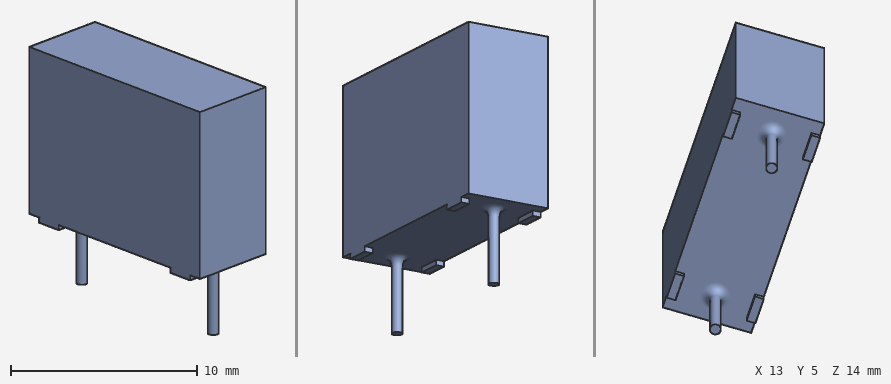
import cadquery as cq

body_length = 13.0
body_width = 5.0
total_height = 14.0
lead_length = 4.0

foot_height = 0.3
foot_length = 1.5
foot_width = 0.5
foot_end_gap = 0.75

lead_pitch = 10.0
lead_diameter = 0.6
flare_radius = 0.5

top_z = total_height - lead_length
body_height = top_z - foot_height
lead_radius = lead_diameter / 2


def make_body():
    """Plain rectangular case standing on its feet."""
    return (
        cq.Workplane("XY", origin=(0, 0, foot_height))
        .box(body_length, body_width, body_height, centered=(True, True, False))
    )


def make_feet():
    """Four small stand-off feet, flush with the long sides of the case."""
    foot_x = body_length / 2 - foot_end_gap - foot_length / 2
    foot_y = body_width / 2 - foot_width / 2
    centers = [(sx * foot_x, sy * foot_y) for sx in (-1, 1) for sy in (-1, 1)]
    return (
        cq.Workplane("XY")
        .pushPoints(centers)
        .rect(foot_length, foot_width)
        .extrude(foot_height)
    )


def make_lead(x):
    """Round lead with a concave flare blending into the underside of the case."""
    flare_bottom_z = foot_height - flare_radius
    flare_top_radius = lead_radius + flare_radius
    profile = (
        cq.Workplane("XZ")
        .moveTo(0, -lead_length)
        .lineTo(lead_radius, -lead_length)
        .lineTo(lead_radius, flare_bottom_z)
        .radiusArc((flare_top_radius, foot_height), flare_radius)
        .lineTo(0, foot_height)
        .close()
    )
    return profile.revolve(360, (0, 0, 0), (0, 1, 0)).translate((x, 0, 0))


result = make_body().union(make_feet())
for side in (-1, 1):
    result = result.union(make_lead(side * lead_pitch / 2))